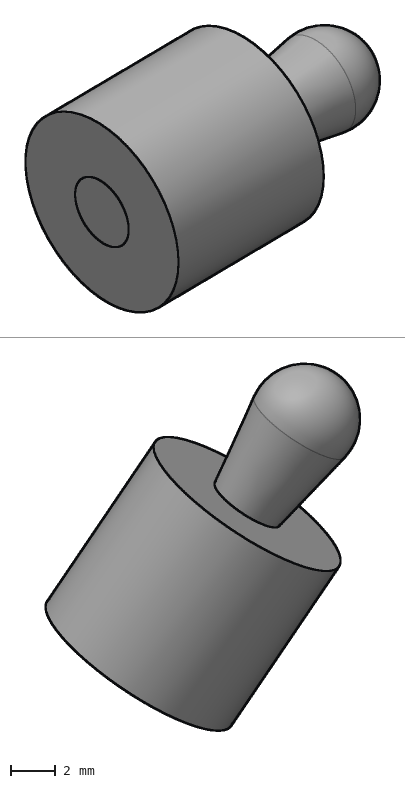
import cadquery as cq
import math

total_length = 16.28
housing_diameter = 10.0
housing_length = 9.0
shank_diameter = 3.5
ball_diameter = 5.0

shank_radius = shank_diameter / 2
ball_radius = ball_diameter / 2
ball_center_y = total_length - ball_radius


def make_housing():
    """Plain cylinder with a through bore that holds the pin's shank."""
    return (
        cq.Workplane("XZ")
        .circle(housing_diameter / 2)
        .circle(shank_radius)
        .extrude(-housing_length)
    )


def make_pin():
    """Straight shank, then a neck that widens tangentially into a ball end."""
    center_distance = math.hypot(shank_radius, ball_center_y - housing_length)
    root_angle = math.atan2(housing_length - ball_center_y, shank_radius)
    tangent_angle = root_angle + math.acos(ball_radius / center_distance)
    tangent_point = (
        ball_radius * math.cos(tangent_angle),
        ball_center_y + ball_radius * math.sin(tangent_angle),
    )
    return (
        cq.Workplane("XY")
        .lineTo(shank_radius, 0)
        .lineTo(shank_radius, housing_length)
        .lineTo(*tangent_point)
        .threePointArc((ball_radius, ball_center_y), (0, total_length))
        .close()
        .revolve(360, (0, 0), (0, 1))
    )


housing = make_housing()
pin = make_pin()
result = cq.Compound.makeCompound([housing.val(), pin.val()])